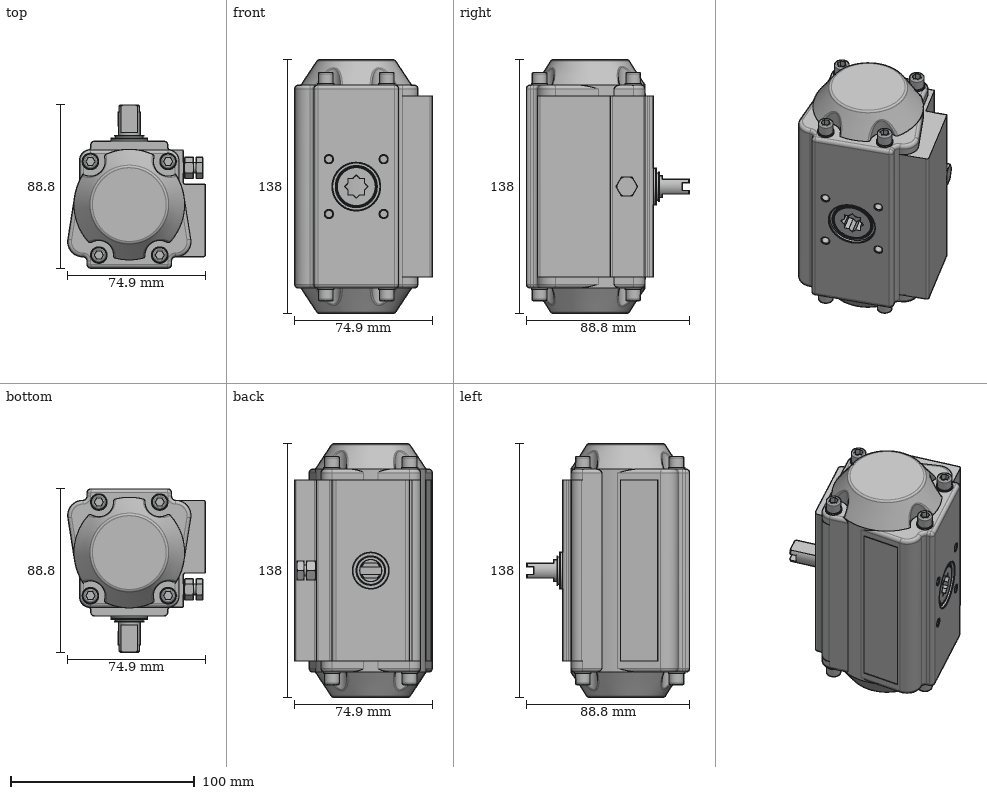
import cadquery as cq
import math


BODY_HALF_LENGTH = 55.2
BARREL_RADIUS = 30.1
END_ROUNDING = 2.1
UPPER_HALF_WIDTH = 27.0
UPPER_TOP = 29.8
UPPER_CORNER_RADIUS = 6.1
MIDDLE_CORNER_RADIUS = 5.7
BASE_HALF_WIDTH = 23.0
BASE_BOTTOM = -34.6
BASE_CORNER_RADIUS = 2.2
BASE_NECK_RADIUS = 2.2
SHOULDER_RADIUS = 8.3
SHOULDER_BOTTOM = -28.4
SHOULDER_X = BASE_HALF_WIDTH + BASE_NECK_RADIUS
SHOULDER_Y = SHOULDER_BOTTOM + SHOULDER_RADIUS
FLANK_ANGLE = math.degrees(
    math.acos((BARREL_RADIUS - SHOULDER_RADIUS) / math.hypot(SHOULDER_X, SHOULDER_Y))
    + math.atan2(SHOULDER_Y, SHOULDER_X)
)

PLATE_HALF_LENGTH = 49.3
PAD_HALF_WIDTH = 21.0
PAD_TOP = 34.5
PAD_ROUNDING = 2.1
PAD_FOOT_RADIUS = 1.4
MODULE_INNER_X = 13.8
MODULE_FACE_X = 29.4
MODULE_OUTER_X = 41.4
MODULE_STEP_Y = 11.2
MODULE_INNER_ROUNDING = 1.1
MODULE_CORNER_ROUNDING = 0.7
MODULE_BOTTOM_ROUNDING = 1.2
NAMEPLATE_MARGIN = 1.7
NAMEPLATE_DEPTH = 0.3

CAP_END = 69.0
CAP_END_RADIUS = 21.0
CAP_ROUNDING = 1.7
POCKET_RADIUS = 8.0
POCKET_ROUNDING = 1.2
SCREW_PLACES = [(21.1, 23.5), (-21.1, 23.5), (16.5, -27.5), (-16.5, -27.5)]
SCREW_HEAD_DIAMETER = 8.0
SCREW_HEAD_TOP = 62.1
SCREW_HEAD_ROUNDING = 0.8
SCREW_WASHER_DIAMETER = 9.0
SCREW_WASHER_HEIGHT = 0.8
SCREW_HEX_CORNERS = 5.0
SCREW_HEX_DEPTH = 3.5

SHAFT_DIAMETER = 12.0
SHAFT_TOP = 54.2
SHAFT_CHAMFER = 0.7
SHAFT_FLATS = 8.1
SHAFT_FLATS_BOTTOM = 39.3
SHAFT_SLOT_WIDTH = 4.1
SHAFT_SLOT_DEPTH = 4.0
WASHER_DIAMETER = 20.0
WASHER_TOP = 36.3
WASHER_GROOVE_Y = 35.6
WASHER_GROOVE = 0.3
CLIP_DIAMETER = 15.0
CLIP_RIM_DIAMETER = 16.0
CLIP_RIM_THICKNESS = 0.4
CLIP_TOP = 37.7

RECESS_DIAMETER = 25.7
RECESS_DEPTH = 2.0
RECESS_CHAMFER = 0.4
PINION_DIAMETER = 22.9
PINION_SETBACK = 1.0
PINION_CHAMFER = 0.4
PINION_GROOVE_DIAMETER = 20.7
PINION_GROOVE_WIDTH = 0.4
PINION_GROOVE_DEPTH = 0.7
STAR_WIDTH = 9.0
STAR_FLOOR_RADIUS = 24.8
MOUNT_HOLE_OFFSET = 14.9
MOUNT_HOLE_DIAMETER = 4.1
MOUNT_HOLE_MOUTH = 5.0
MOUNT_HOLE_DEPTH = 8.3

GLAND_Y = 20.0
GLAND_HEX_CORNERS = 11.7
GLAND_NECK_DIAMETER = 6.0
GLAND_INNER_HEX_START = 30.1
GLAND_INNER_HEX_END = 34.9
GLAND_HEX_CHAMFER = 0.4
GLAND_OUTER_HEX_START = 36.3
GLAND_END = 40.0


def polar(center_x, center_y, radius, degrees):
    angle = math.radians(degrees)
    return (center_x + radius * math.cos(angle), center_y + radius * math.sin(angle))


def disc_y(diameter, y_start, y_end):
    """Cylinder along Y, centred on the pinion axis."""
    return cq.Workplane("XZ", origin=(0, y_start, 0)).circle(diameter / 2).extrude(y_start - y_end)


def block(x_range, y_range, z_half):
    """Box between the given X and Y limits, centred on Z = 0."""
    size_x = x_range[1] - x_range[0]
    size_y = y_range[1] - y_range[0]
    solid = cq.Workplane("XY").box(size_x, size_y, 2 * z_half, centered=(False, False, True))
    return solid.translate((x_range[0], y_range[0], 0))


def lower_body():
    """Flared lower housing standing on its mounting base."""
    corner_x = BASE_HALF_WIDTH - BASE_CORNER_RADIUS
    corner_y = BASE_BOTTOM + BASE_CORNER_RADIUS
    neck_y = SHOULDER_BOTTOM - BASE_NECK_RADIUS
    shoulder_mid = (FLANK_ANGLE - 90) / 2
    flank_top = polar(0, 0, BARREL_RADIUS, FLANK_ANGLE)
    outline = (
        cq.Workplane("XY", origin=(0, 0, -BODY_HALF_LENGTH))
        .moveTo(0, BASE_BOTTOM)
        .lineTo(corner_x, BASE_BOTTOM)
        .threePointArc(polar(corner_x, corner_y, BASE_CORNER_RADIUS, -45), (BASE_HALF_WIDTH, corner_y))
        .lineTo(BASE_HALF_WIDTH, neck_y)
        .threePointArc(polar(SHOULDER_X, neck_y, BASE_NECK_RADIUS, 135), (SHOULDER_X, SHOULDER_BOTTOM))
        .threePointArc(
            polar(SHOULDER_X, SHOULDER_Y, SHOULDER_RADIUS, shoulder_mid),
            polar(SHOULDER_X, SHOULDER_Y, SHOULDER_RADIUS, FLANK_ANGLE),
        )
        .lineTo(*flank_top)
        .lineTo(0, flank_top[1])
        .mirrorY()
    )
    return outline.extrude(2 * BODY_HALF_LENGTH).faces("|Z").edges().fillet(END_ROUNDING)


def upper_block(half_length, corner_radius):
    body = block((-UPPER_HALF_WIDTH, UPPER_HALF_WIDTH), (0, UPPER_TOP), half_length)
    return body.edges("|Z and >Y").fillet(corner_radius)


def upper_body():
    """Rectangular upper housing, slightly fuller at the corners along its middle stretch."""
    full = upper_block(BODY_HALF_LENGTH, UPPER_CORNER_RADIUS)
    full = full.faces("|Z").edges("not <Y").fillet(END_ROUNDING)
    return full.union(upper_block(PLATE_HALF_LENGTH, MIDDLE_CORNER_RADIUS))


def top_pad():
    """Raised pad under the indicator shaft, with a hollow-rounded foot on each side."""
    pad = block((-PAD_HALF_WIDTH, PAD_HALF_WIDTH), (0, PAD_TOP), PLATE_HALF_LENGTH)
    pad = pad.edges("|Z and >Y").fillet(PAD_ROUNDING)
    foot_x = PAD_HALF_WIDTH + PAD_FOOT_RADIUS
    foot_y = UPPER_TOP + PAD_FOOT_RADIUS
    foot = block((-foot_x, foot_x), (0, foot_y), PLATE_HALF_LENGTH)
    hollows = (
        cq.Workplane("XY", origin=(0, 0, -PLATE_HALF_LENGTH))
        .pushPoints([(-foot_x, foot_y), (foot_x, foot_y)])
        .circle(PAD_FOOT_RADIUS)
        .extrude(2 * PLATE_HALF_LENGTH)
    )
    return pad.union(foot.cut(hollows))


def side_module():
    """Stepped block along the +X side of the body."""
    inner = block((MODULE_INNER_X, MODULE_FACE_X), (SHOULDER_BOTTOM, UPPER_TOP), PLATE_HALF_LENGTH)
    inner = inner.edges("|Z and >X and >Y").fillet(MODULE_CORNER_ROUNDING)
    outer = block((MODULE_INNER_X, MODULE_OUTER_X), (SHOULDER_BOTTOM, MODULE_STEP_Y), PLATE_HALF_LENGTH)
    outer = outer.edges("|Z and >X and >Y").fillet(MODULE_CORNER_ROUNDING)
    outer = outer.edges("|Z and >X and <Y").fillet(MODULE_BOTTOM_ROUNDING)
    step_edge = cq.selectors.NearestToPointSelector((MODULE_FACE_X, MODULE_STEP_Y, 0))
    return inner.union(outer).edges(step_edge).fillet(MODULE_INNER_ROUNDING)


def nameplate_recess():
    """Shallow rectangular pocket cutter on the -X flank."""
    flank_length = math.sqrt(
        math.hypot(SHOULDER_X, SHOULDER_Y) ** 2 - (BARREL_RADIUS - SHOULDER_RADIUS) ** 2
    )
    plate = cq.Workplane("XY").box(
        2 * NAMEPLATE_DEPTH, flank_length - 2 * NAMEPLATE_MARGIN, 2 * PLATE_HALF_LENGTH
    )
    plate = plate.translate((-BARREL_RADIUS, -flank_length / 2, 0))
    return plate.rotate((0, 0, 0), (0, 0, 1), -FLANK_ANGLE)


def end_cap():
    """Round barrel half with the conical cap on its +Z end, scalloped around the screws."""
    cap = (
        cq.Workplane("XZ")
        .lineTo(BARREL_RADIUS, 0)
        .lineTo(BARREL_RADIUS, BODY_HALF_LENGTH)
        .lineTo(CAP_END_RADIUS, CAP_END)
        .lineTo(0, CAP_END)
        .close()
        .revolve(360, (0, 0, 0), (0, 1, 0))
        .faces(">Z").edges().fillet(CAP_ROUNDING)
    )
    pockets = (
        cq.Workplane("XY", origin=(0, 0, BODY_HALF_LENGTH))
        .pushPoints(SCREW_PLACES)
        .circle(POCKET_RADIUS)
        .extrude(CAP_END - BODY_HALF_LENGTH)
    )
    cap = cap.cut(pockets)
    wall_tops = cq.selectors.BoxSelector(
        (-BARREL_RADIUS, -BARREL_RADIUS, BODY_HALF_LENGTH + POCKET_ROUNDING),
        (BARREL_RADIUS, BARREL_RADIUS, CAP_END - CAP_ROUNDING),
    )
    return cap.edges(wall_tops).fillet(POCKET_ROUNDING)


def screws():
    """Socket-head screws on washers at the +Z end, sunk a little into the body."""
    washer_top = BODY_HALF_LENGTH + SCREW_WASHER_HEIGHT
    washer_radius = SCREW_WASHER_DIAMETER / 2
    head_radius = SCREW_HEAD_DIAMETER / 2
    profile = [
        (0, BODY_HALF_LENGTH - END_ROUNDING),
        (washer_radius, BODY_HALF_LENGTH - END_ROUNDING),
        (washer_radius, washer_top),
        (head_radius, washer_top),
        (head_radius, SCREW_HEAD_TOP),
        (0, SCREW_HEAD_TOP),
    ]
    screw = (
        cq.Workplane("XZ").polyline(profile).close().revolve(360, (0, 0, 0), (0, 1, 0))
        .faces(">Z").edges().fillet(SCREW_HEAD_ROUNDING)
        .faces(">Z").workplane().polygon(6, SCREW_HEX_CORNERS).cutBlind(-SCREW_HEX_DEPTH)
    )
    return cq.Workplane("XY").pushPoints(SCREW_PLACES).eachpoint(lambda place: screw.val().moved(place))


def drive_shaft():
    """Slotted indicator shaft with its washer and retaining clip."""
    shaft = disc_y(SHAFT_DIAMETER, 0, SHAFT_TOP).faces(">Y").chamfer(SHAFT_CHAMFER)
    half = SHAFT_DIAMETER / 2
    for side in (-1, 1):
        flat = block((-half, half), (SHAFT_FLATS_BOTTOM, SHAFT_TOP), half)
        shaft = shaft.cut(flat.translate((0, 0, side * (SHAFT_FLATS / 2 + half))))
    slot = block((-half, half), (SHAFT_TOP - SHAFT_SLOT_DEPTH, SHAFT_TOP), SHAFT_SLOT_WIDTH / 2)
    shaft = shaft.cut(slot)
    washer = disc_y(WASHER_DIAMETER, 0, WASHER_TOP)
    groove = disc_y(WASHER_DIAMETER, WASHER_GROOVE_Y, WASHER_GROOVE_Y + WASHER_GROOVE).cut(
        disc_y(WASHER_DIAMETER - 2 * WASHER_GROOVE, WASHER_GROOVE_Y, WASHER_GROOVE_Y + WASHER_GROOVE)
    )
    clip = disc_y(CLIP_DIAMETER, 0, CLIP_TOP)
    rim = disc_y(CLIP_RIM_DIAMETER, CLIP_TOP - CLIP_RIM_THICKNESS, CLIP_TOP)
    return washer.cut(groove).union(clip).union(rim).union(shaft)


def countersink(diameter, mouth):
    """Cone widening a bore up to its mouth at the mounting face."""
    depth = (mouth - diameter) / 2
    return (
        cq.Workplane("XZ", origin=(0, BASE_BOTTOM, 0))
        .circle(mouth / 2)
        .extrude(-depth, taper=45)
    )


def pinion_recess():
    """Ring-shaped recess around the chamfered, grooved end of the pinion."""
    pinion_face = BASE_BOTTOM + PINION_SETBACK
    recess_floor = BASE_BOTTOM + RECESS_DEPTH
    recess = disc_y(RECESS_DIAMETER, BASE_BOTTOM, recess_floor)
    recess = recess.union(countersink(RECESS_DIAMETER, RECESS_DIAMETER + 2 * RECESS_CHAMFER))
    pinion = disc_y(PINION_DIAMETER, pinion_face, recess_floor).faces("<Y").chamfer(PINION_CHAMFER)
    groove_floor = pinion_face + PINION_GROOVE_DEPTH
    groove = disc_y(PINION_GROOVE_DIAMETER + 2 * PINION_GROOVE_WIDTH, pinion_face, groove_floor)
    groove = groove.cut(disc_y(PINION_GROOVE_DIAMETER, pinion_face, groove_floor))
    return recess.cut(pinion).union(groove)


def star_socket():
    """Eight-pointed socket of two crossed squares, with a convex floor coaxial with the barrel."""
    square = cq.Workplane("XY").box(STAR_WIDTH, -BASE_BOTTOM, STAR_WIDTH).translate((0, BASE_BOTTOM / 2, 0))
    star = square.union(square.rotate((0, 0, 0), (0, 1, 0), 45))
    return star.cut(cq.Workplane("XY").circle(STAR_FLOOR_RADIUS).extrude(STAR_WIDTH, both=True))


def mounting_holes():
    hole = disc_y(MOUNT_HOLE_DIAMETER, BASE_BOTTOM, BASE_BOTTOM + MOUNT_HOLE_DEPTH)
    hole = hole.union(countersink(MOUNT_HOLE_DIAMETER, MOUNT_HOLE_MOUTH))
    corner = hole.translate((MOUNT_HOLE_OFFSET, 0, MOUNT_HOLE_OFFSET))
    holes = corner
    for turn in (90, 180, 270):
        holes = holes.union(corner.rotate((0, 0, 0), (0, 1, 0), turn))
    return holes


def cable_gland():
    """Two hexagons joined by a neck, pointing along +X."""
    plane = cq.Workplane("YZ", origin=(MODULE_INNER_X, GLAND_Y, 0))
    gland = plane.circle(GLAND_NECK_DIAMETER / 2).extrude(GLAND_END - MODULE_INNER_X)
    hexes = ((GLAND_INNER_HEX_START, GLAND_INNER_HEX_END), (GLAND_OUTER_HEX_START, GLAND_END))
    for start, end in hexes:
        hex_start = plane.workplane(offset=start - MODULE_INNER_X)
        nut = hex_start.polygon(6, GLAND_HEX_CORNERS).extrude(end - start)
        envelope = hex_start.circle(GLAND_HEX_CORNERS / 2).extrude(end - start)
        gland = gland.union(nut.intersect(envelope.edges().chamfer(GLAND_HEX_CHAMFER)))
    return gland


housing = lower_body().union(upper_body()).union(top_pad()).union(side_module())
caps = end_cap()
bolts = screws()
for ends in (caps, bolts):
    housing = housing.union(ends).union(ends.mirror("XY"))
result = housing.union(drive_shaft()).union(cable_gland())
for cutter in (nameplate_recess(), pinion_recess(), star_socket(), mounting_holes()):
    result = result.cut(cutter)